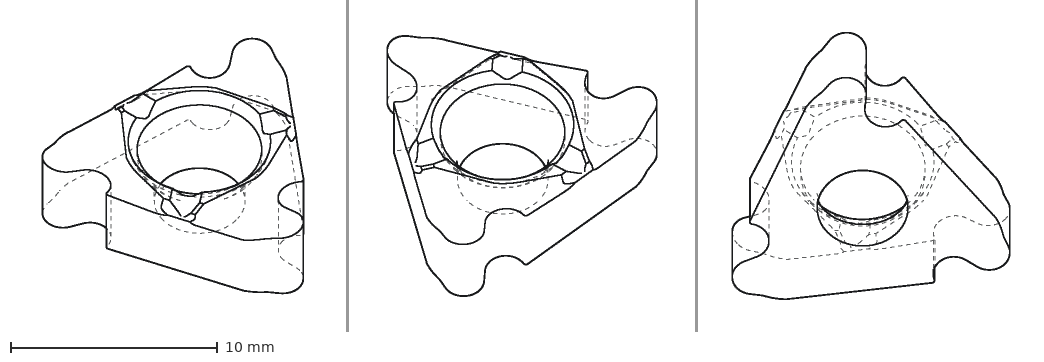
import cadquery as cq
import math

REPEATS = 3
REPEAT_ANGLE = 360 / REPEATS

total_height = 4.1
side_distance = 4.76
reach = 10.82

lobe_radius = 1.0
lobe_center = (-3.26, -5.8)
hollow_radius = lobe_radius
hollow_center = (-1.15, -5.74)
corner_radius = 0.14
shoulder_start = (-side_distance, -4.4)
shoulder_middle = (-4.68, -4.76)
shoulder_end = (-4.46, -5.33)
neck_middle = (-4.42, -5.41)
neck_end = (-4.38, -5.5)
lobe_entry_angle = 195

floor_height = 3.49
rake_line = 4.29
rake_angle = 10
rake_blend_radius = 0.34

wall_lean = 25
arc_wall_radius = 3.71
oblique_wall_distance = 3.61
oblique_wall_angle = 32
foot_radius = 0.31

ledge_height = 3.61
ledge_wall_top = 4.25
ledge_foot_radius = 0.2
ledge_low_y = -2.7
ledge_high_y = 0.68

bevel_start = 3.82
bevel_angle = 27

notch_angle = 13.5
notch_half_width = 0.73
notch_wall_angle = 40
notch_floor_radius = 0.32
notch_start = 2.03

bore_radius = 4.4 / 2
bore_top = 1.2
seat_radius = 2.2
seat_top_height = 2.79
counterbore_radius = 3.02
lip_height = 3.55
recess_top_radius = 3.45
recess_floor_radius = 3.29
recess_fillet = 0.23


def polar(radius, degrees, center=(0, 0)):
    """Point at a radius and an angle about a center."""
    angle = math.radians(degrees)
    return (center[0] + radius * math.cos(angle), center[1] + radius * math.sin(angle))


def turned(point, degrees):
    """Plan point turned about the Z axis."""
    return polar(math.hypot(*point), math.degrees(math.atan2(point[1], point[0])) + degrees)


def repeated(feature):
    """The feature repeated about the Z axis."""
    copies = feature
    for index in range(1, REPEATS):
        copies = copies.union(feature.rotate((0, 0, 0), (0, 0, 1), index * REPEAT_ANGLE))
    return copies


def make_body():
    """Full-height prism with the three lobes and hollows."""
    center_line = (hollow_center[0] - lobe_center[0], hollow_center[1] - lobe_center[1])
    center_direction = math.degrees(math.atan2(center_line[1], center_line[0]))
    link_spread = math.degrees(math.acos((lobe_radius + hollow_radius) / math.hypot(*center_line)))
    lobe_exit_angle = center_direction - link_spread
    hollow_entry_angle = lobe_exit_angle + 180
    next_normal = 180 + REPEAT_ANGLE
    normal_x, normal_y = polar(1, next_normal)
    center_gap = side_distance - hollow_center[0] * normal_x - hollow_center[1] * normal_y
    hollow_exit_angle = next_normal + math.degrees(math.acos(center_gap / hollow_radius))

    outline = cq.Workplane("XY").moveTo(*shoulder_start)
    for index in range(REPEATS):
        turn = index * REPEAT_ANGLE

        def at(point):
            return turned(point, turn)

        def on_lobe(degrees):
            return at(polar(lobe_radius, degrees, lobe_center))

        def on_hollow(degrees):
            return at(polar(hollow_radius, degrees, hollow_center))

        outline = (
            outline.threePointArc(at(shoulder_middle), at(shoulder_end))
            .threePointArc(at(neck_middle), at(neck_end))
            .lineTo(*on_lobe(lobe_entry_angle))
            .threePointArc(on_lobe(270), on_lobe(lobe_exit_angle))
            .lineTo(*on_hollow(hollow_entry_angle))
            .threePointArc(on_hollow(90), on_hollow(hollow_exit_angle))
        )
        if index < REPEATS - 1:
            outline = outline.lineTo(*turned(shoulder_start, turn + REPEAT_ANGLE))
    body = outline.close().extrude(total_height)

    corner = polar(hollow_radius, hollow_exit_angle, hollow_center)
    for index in range(REPEATS):
        x, y = turned(corner, index * REPEAT_ANGLE)
        nearest = cq.selectors.NearestToPointSelector((x, y, total_height / 2))
        body = body.edges("|Z").edges(nearest).fillet(corner_radius)
    return body


def chip_space_profile(wall_top, floor, foot, sketch_plane):
    """Section of the space outside a leaning wall: wall, rounded foot and flat floor.

    The section lies in the local (outward, up) plane and wall_top is the distance of the
    top edge of the wall from the axis.
    """
    lean = math.radians(wall_lean)
    wall_bottom = wall_top + (total_height - floor) * math.tan(lean)
    foot_length = foot * math.tan((math.pi / 2 - lean) / 2)
    return (
        sketch_plane.moveTo(wall_top, total_height)
        .lineTo(wall_bottom - foot_length * math.sin(lean), floor + foot_length * math.cos(lean))
        .tangentArcPoint((wall_bottom + foot_length, floor), relative=False)
        .lineTo(reach, floor)
        .lineTo(reach, total_height)
        .close()
    )


def section_plane(normal_angle):
    """Vertical sketch plane holding the axis, with its first direction pointing outward at the angle."""
    outward = polar(1, normal_angle)
    return cq.Workplane(cq.Plane((0, 0, 0), xDir=(*outward, 0), normal=(outward[1], -outward[0], 0)))


def make_straight_chip_space():
    """Space outside the straight wall, from its middle toward +X."""
    profile = chip_space_profile(arc_wall_radius, floor_height, foot_radius, section_plane(270))
    return profile.extrude(-reach)


def make_arc_chip_space():
    """Space outside the conical wall that links the straight wall to the oblique one."""
    profile = chip_space_profile(arc_wall_radius, floor_height, foot_radius, section_plane(270))
    return profile.revolve(oblique_wall_angle, (0, 0, 0), (0, -1, 0))


def make_oblique_chip_space():
    """Space outside the oblique wall."""
    profile = chip_space_profile(
        oblique_wall_distance, floor_height, foot_radius, section_plane(270 - oblique_wall_angle)
    )
    return profile.extrude(reach, both=True)


def make_rake_wedge():
    """Wedge under the rake face, rising outward from the chip floor toward the lobe."""
    blend = rake_blend_radius * math.tan(math.radians(rake_angle / 2))
    rise = math.tan(math.radians(rake_angle))
    blend_end = rake_line + blend * math.cos(math.radians(rake_angle))
    return (
        cq.Workplane("YZ")
        .moveTo(-rake_line + blend, floor_height)
        .radiusArc((-blend_end, floor_height + (blend_end - rake_line) * rise), rake_blend_radius)
        .lineTo(-reach, floor_height + (reach - rake_line) * rise)
        .lineTo(-reach, 0)
        .lineTo(-rake_line + blend, 0)
        .close()
        .extrude(reach, both=True)
    )


def make_ledge_cutter():
    """Space above the ledge, behind a leaning wall with a rounded foot."""
    plane = cq.Workplane(cq.Plane((0, ledge_low_y, 0), xDir=(-1, 0, 0), normal=(0, 1, 0)))
    profile = chip_space_profile(ledge_wall_top, ledge_height, ledge_foot_radius, plane)
    return profile.extrude(ledge_high_y - ledge_low_y)


def make_bevel_cutter():
    """Wedge above the bevelled tip, on the lobe side of the notch."""
    depth = total_height - ledge_height
    run = depth / math.tan(math.radians(bevel_angle))
    notch_y = -bevel_start * math.tan(math.radians(notch_angle))
    return (
        cq.Workplane("XZ", origin=(0, notch_y, 0))
        .moveTo(-bevel_start, total_height)
        .lineTo(-bevel_start - run, ledge_height)
        .lineTo(-bevel_start - run, total_height)
        .close()
        .extrude(notch_y - ledge_low_y)
    )


def make_notch_cutter():
    """V channel running outward from the hole, with rounded floor edges."""
    depth = total_height - ledge_height
    half_floor = notch_half_width - depth / math.tan(math.radians(notch_wall_angle))
    return (
        cq.Workplane("YZ", origin=(-notch_start, 0, 0))
        .moveTo(-half_floor, ledge_height)
        .lineTo(-notch_half_width, total_height)
        .lineTo(notch_half_width, total_height)
        .lineTo(half_floor, ledge_height)
        .close()
        .extrude(notch_start - reach)
        .edges("|X and <Z")
        .fillet(notch_floor_radius)
        .rotate((0, 0, 0), (0, 0, 1), notch_angle)
    )


def make_screw_hole():
    """Bore, rounded screw seat, counterbore and the wider recess around its lip."""
    seat_sweep = math.asin((seat_top_height - bore_top) / seat_radius)
    seat_center = bore_radius + seat_radius
    seat_middle = (
        seat_center - seat_radius * math.cos(seat_sweep / 2),
        bore_top + seat_radius * math.sin(seat_sweep / 2),
    )
    seat_end = (seat_center - seat_radius * math.cos(seat_sweep), seat_top_height)
    blend_radius = (counterbore_radius - seat_end[0]) / (1 - math.cos(seat_sweep))
    blend_end = (counterbore_radius, seat_top_height + blend_radius * math.sin(seat_sweep))
    hole = (
        cq.Workplane("XZ")
        .lineTo(bore_radius, 0)
        .lineTo(bore_radius, bore_top)
        .threePointArc(seat_middle, seat_end)
        .tangentArcPoint(blend_end, relative=False)
        .lineTo(counterbore_radius, lip_height)
        .lineTo(0, lip_height)
        .close()
        .revolve(360, (0, 0, 0), (0, 1, 0))
    )
    recess = (
        cq.Workplane("XZ")
        .moveTo(0, lip_height)
        .lineTo(recess_floor_radius, lip_height)
        .lineTo(recess_top_radius, total_height)
        .lineTo(0, total_height)
        .close()
        .revolve(360, (0, 0, 0), (0, 1, 0))
        .edges("<Z")
        .fillet(recess_fillet)
    )
    return hole.union(recess)


body = make_body()
chip_spaces = (make_straight_chip_space(), make_arc_chip_space(), make_oblique_chip_space())
result = body
for chip_space in chip_spaces:
    result = result.cut(repeated(chip_space))
result = result.union(repeated(make_rake_wedge().intersect(body)))
for cutter in (make_ledge_cutter(), make_bevel_cutter(), make_notch_cutter()):
    result = result.cut(repeated(cutter))
result = result.cut(make_screw_hole())